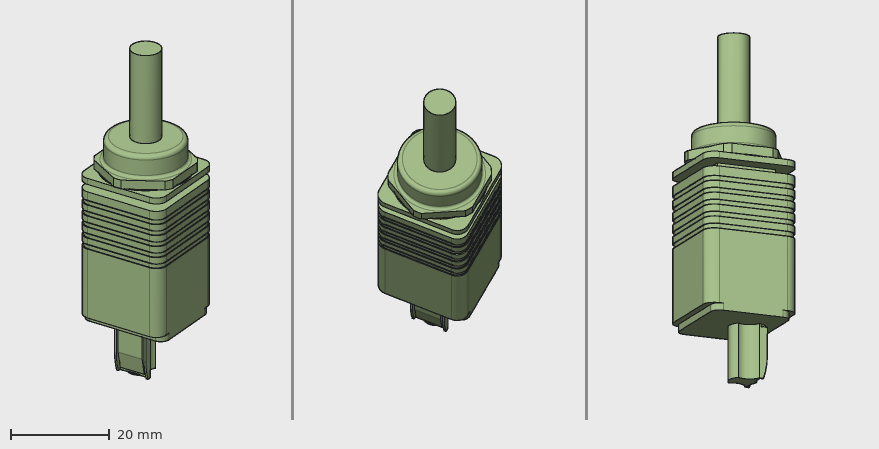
import cadquery as cq


housing_width = 19.9
housing_depth = 20.0
housing_height = 28.65
corner_radius = 2.5
groove_count = 5
groove_width = 1.0
groove_depth = 0.2
groove_pitch = 2.5
first_groove_drop = 2.0

foot_depth = 17.1
foot_height = 1.5
foot_radius = 2.0

neck_width = 12.8
neck_height = 1.7
flange_width = 20.0
flange_height = 1.35

washer_radius = 9.7
washer_height = 0.2
nut_flats = 19.0
nut_corner_diameter = 21.0
nut_height = 2.0
cap_radius = 8.55
cap_height = 5.2
cap_top_fillet = 1.0
cap_root_fillet = 0.7
cable_diameter = 6.5
cable_length = 20.0

plug_length = 11.4
plug_half_width = 3.8
plug_rear_half_width = 2.4
plug_rear_edge_y = 0.0
plug_rear_y = 1.0
plug_side_radius = 2.6
plug_flare_y = -4.05
plug_face_y = -4.4
plug_front_y = -5.75

rail_thickness = 0.45
rail_top_gap = 0.6
rail_top_radius = 0.2
rail_overhang = 0.05
rail_curve_height = 4.2
rail_tip_y = -4.95
rail_bulge = 0.15
latch_half_width = 2.9
latch_bend_height = 4.65
latch_end_height = 0.9
latch_end_y = -5.0

lip_half_width = 1.5
lip_height = 0.2
lip_bulge = 0.45

flange_z = neck_height
washer_z = flange_z + flange_height
nut_z = washer_z + washer_height
cap_z = nut_z + nut_height
cap_top_z = cap_z + cap_height
foot_top_z = -housing_height
plug_top_z = foot_top_z - foot_height
plug_bottom_z = plug_top_z - plug_length


def rounded_block(width, depth, radius, bottom_z, height):
    """Block centred on Z with rounded vertical edges."""
    block = cq.Workplane("XY", origin=(0, 0, bottom_z)).rect(width, depth).extrude(height)
    return block.edges("|Z").fillet(radius)


def disc(radius, bottom_z, height):
    return cq.Workplane("XY", origin=(0, 0, bottom_z)).circle(radius).extrude(height)


def make_housing():
    housing = rounded_block(housing_width, housing_depth, corner_radius, foot_top_z, housing_height)
    floor_width = housing_width - 2 * groove_depth
    floor_depth = housing_depth - 2 * groove_depth
    for index in range(groove_count):
        groove_z = -first_groove_drop - index * groove_pitch - groove_width
        core = rounded_block(floor_width, floor_depth, corner_radius, groove_z, groove_width)
        outer = cq.Workplane("XY", origin=(0, 0, groove_z)).rect(housing_width, housing_depth)
        housing = housing.cut(outer.extrude(groove_width).cut(core))
    return housing


def make_foot():
    return rounded_block(housing_width, foot_depth, foot_radius, plug_top_z, foot_height)


def make_neck_and_flange():
    neck = cq.Workplane("XY").rect(neck_width, neck_width).extrude(neck_height)
    flange = rounded_block(flange_width, flange_width, corner_radius, flange_z, flange_height)
    return neck.union(flange)


def make_nut():
    """Hexagon with corners pointing along Y, trimmed round at the corners."""
    hexagon = (
        cq.Workplane("XY", origin=(0, 0, nut_z))
        .polygon(6, nut_flats, circumscribed=True)
        .extrude(nut_height)
    )
    return hexagon.intersect(disc(nut_corner_diameter / 2, nut_z, nut_height))


def make_cap():
    """Round cap with a rounded rim and a hollow fillet onto the nut."""
    profile = (
        cq.Workplane("XZ")
        .moveTo(0, cap_z)
        .lineTo(cap_radius + cap_root_fillet, cap_z)
        .radiusArc((cap_radius, cap_z + cap_root_fillet), cap_root_fillet)
        .lineTo(cap_radius, cap_top_z - cap_top_fillet)
        .radiusArc((cap_radius - cap_top_fillet, cap_top_z), -cap_top_fillet)
        .lineTo(0, cap_top_z)
        .close()
    )
    return profile.revolve(360, (0, 0, 0), (0, 1, 0))


def make_plug_body():
    """Front plate with hollow sides running back to a rounded rear."""
    return (
        cq.Workplane("XY", origin=(0, 0, plug_bottom_z))
        .moveTo(-plug_half_width, plug_face_y)
        .lineTo(plug_half_width, plug_face_y)
        .lineTo(plug_half_width, plug_flare_y)
        .radiusArc((plug_rear_half_width, plug_rear_edge_y), plug_side_radius)
        .threePointArc((0, plug_rear_y), (-plug_rear_half_width, plug_rear_edge_y))
        .radiusArc((-plug_half_width, plug_flare_y), plug_side_radius)
        .close()
        .extrude(plug_length)
    )


def make_rail(left_x):
    """Thin side rail whose front edge curves back towards its lower tip."""
    tip_z = plug_bottom_z - rail_overhang
    top_z = plug_top_z - rail_top_gap
    return (
        cq.Workplane("YZ", origin=(left_x, 0, 0))
        .moveTo(plug_flare_y, plug_bottom_z)
        .lineTo(plug_flare_y, top_z)
        .lineTo(plug_front_y + rail_top_radius, top_z)
        .radiusArc((plug_front_y, top_z - rail_top_radius), -rail_top_radius)
        .lineTo(plug_front_y, plug_bottom_z + rail_curve_height)
        .sagittaArc((rail_tip_y, tip_z), -rail_bulge)
        .close()
        .extrude(rail_thickness)
    )


def make_latch():
    """Central tongue with a sloping lower end."""
    return (
        cq.Workplane("YZ", origin=(-latch_half_width, 0, 0))
        .moveTo(plug_flare_y, plug_top_z)
        .lineTo(plug_front_y, plug_top_z)
        .lineTo(plug_front_y, plug_bottom_z + latch_bend_height)
        .lineTo(latch_end_y, plug_bottom_z + latch_end_height)
        .lineTo(plug_flare_y, plug_bottom_z + latch_end_height)
        .close()
        .extrude(2 * latch_half_width)
    )


def make_lip():
    return (
        cq.Workplane("XY", origin=(0, 0, plug_bottom_z))
        .moveTo(-lip_half_width, plug_flare_y)
        .lineTo(-lip_half_width, plug_face_y)
        .threePointArc((0, plug_face_y - lip_bulge), (lip_half_width, plug_face_y))
        .lineTo(lip_half_width, plug_flare_y)
        .close()
        .extrude(lip_height)
    )


result = make_housing()
result = result.union(make_foot())
result = result.union(make_neck_and_flange())
result = result.union(disc(washer_radius, washer_z, washer_height))
result = result.union(make_nut())
result = result.union(make_cap())
result = result.union(disc(cable_diameter / 2, cap_top_z, cable_length))
result = result.union(make_plug_body())
for rail_x in (-plug_half_width, plug_half_width - rail_thickness):
    result = result.union(make_rail(rail_x))
result = result.union(make_latch())
result = result.union(make_lip())